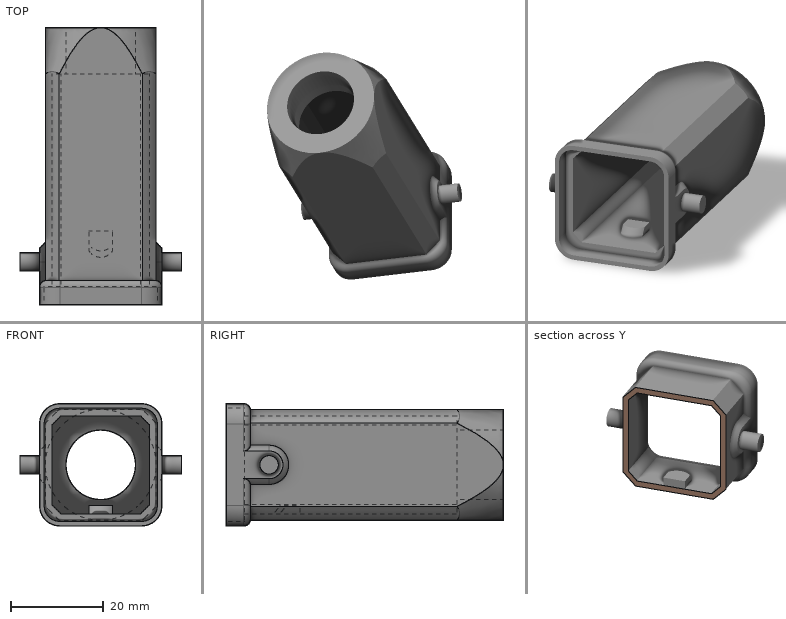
import cadquery as cq
import math

LENGTH = 60.0
BODY_WIDTH = 24.0
BODY_BEVEL = 3.0

TAPER_LENGTH = 10.0
TAPER_END_RADIUS = BODY_WIDTH / 2
TAPER_START_RADIUS = math.hypot(BODY_WIDTH / 2, BODY_WIDTH / 2 - BODY_BEVEL)

COLLAR_WIDTH = 26.5
COLLAR_LENGTH = 5.3
COLLAR_CORNER_RADIUS = 4.4
COLLAR_EDGE_RADIUS = 1.5

RIM_WALL = 1.0
RIM_DEPTH = 4.0
CAVITY_WIDTH = 21.2
CAVITY_BEVEL = 2.0
CAVITY_DEPTH = LENGTH - TAPER_LENGTH
CABLE_HOLE_DIAMETER = 15.0

PIN_SPAN = 35.0
PIN_DIAMETER = 4.0
PIN_Y = 9.3
BOSS_HEIGHT = (COLLAR_WIDTH - BODY_WIDTH) / 2
BOSS_TOP_RADIUS = 3.0
BOSS_BASE_RADIUS = BOSS_TOP_RADIUS + BOSS_HEIGHT

LUG_WIDTH = 5.0
LUG_HEIGHT = 1.8
LUG_NOSE_RADIUS = 3.0
LUG_FOOT_Y = 10.3
LUG_TOP_Y = 11.7
LUG_BACK_Y = 16.0


def square_bar(width, length):
    """Square bar centred on the Y axis, running from the mating face toward the cable end."""
    return cq.Workplane("XZ").rect(width, width).extrude(-length)


def bevelled_bar(width, bevel, length):
    return square_bar(width, length).edges("|Y").chamfer(bevel)


def rounded_bar(width, radius, length):
    return square_bar(width, length).edges("|Y").fillet(radius)


def tapered_body():
    slope = (TAPER_START_RADIUS - TAPER_END_RADIUS) / TAPER_LENGTH
    envelope = (
        cq.Workplane("XY")
        .polyline([
            (0, 0),
            (TAPER_END_RADIUS + slope * LENGTH, 0),
            (TAPER_END_RADIUS, LENGTH),
            (0, LENGTH),
        ])
        .close()
        .revolve(360, (0, 0, 0), (0, 1, 0))
    )
    return bevelled_bar(BODY_WIDTH, BODY_BEVEL, LENGTH).intersect(envelope)


def collar():
    bar = rounded_bar(COLLAR_WIDTH, COLLAR_CORNER_RADIUS, COLLAR_LENGTH)
    return bar.faces(">Y").edges().fillet(COLLAR_EDGE_RADIUS)


def boss_and_pin(side):
    """Slope-sided boss with its pin, reaching forward to the mating face; side is +1 or -1 along X."""
    base_x = side * BODY_WIDTH / 2
    top_x = side * COLLAR_WIDTH / 2
    base_plane = cq.Plane(origin=(base_x, PIN_Y, 0), xDir=(0, 1, 0), normal=(side, 0, 0))
    round_end = (
        cq.Workplane(base_plane)
        .circle(BOSS_BASE_RADIUS)
        .workplane(offset=BOSS_HEIGHT)
        .circle(BOSS_TOP_RADIUS)
        .loft(combine=True)
    )
    straight = (
        cq.Workplane("XZ", origin=(0, PIN_Y, 0))
        .polyline([
            (base_x, -BOSS_BASE_RADIUS),
            (base_x, BOSS_BASE_RADIUS),
            (top_x, BOSS_TOP_RADIUS),
            (top_x, -BOSS_TOP_RADIUS),
        ])
        .close()
        .extrude(PIN_Y)
    )
    pin = cq.Workplane(base_plane).circle(PIN_DIAMETER / 2).extrude((PIN_SPAN - BODY_WIDTH) / 2)
    return round_end.union(straight).union(pin)


def interior():
    cavity = bevelled_bar(CAVITY_WIDTH, CAVITY_BEVEL, CAVITY_DEPTH)
    rim = rounded_bar(COLLAR_WIDTH - 2 * RIM_WALL, COLLAR_CORNER_RADIUS - RIM_WALL, RIM_DEPTH)
    cable_hole = cq.Workplane("XZ").circle(CABLE_HOLE_DIAMETER / 2).extrude(-LENGTH)
    return cavity.union(rim).union(cable_hole)


def lug_section(height, nose_y):
    """Horizontal outline of the lug, its nose reaching nose_y, at a height above the cavity floor."""
    half_width = LUG_WIDTH / 2
    nose_depth = LUG_NOSE_RADIUS - math.sqrt(LUG_NOSE_RADIUS**2 - half_width**2)
    return (
        cq.Workplane("XY")
        .workplane(offset=height - CAVITY_WIDTH / 2)
        .moveTo(-half_width, LUG_BACK_Y)
        .lineTo(-half_width, nose_y + nose_depth)
        .threePointArc((0, nose_y), (half_width, nose_y + nose_depth))
        .lineTo(half_width, LUG_BACK_Y)
        .close()
        .val()
    )


def lug():
    foot = lug_section(0, LUG_FOOT_Y)
    top = lug_section(LUG_HEIGHT, LUG_TOP_Y)
    return cq.Workplane(cq.Solid.makeLoft([foot, top], True))


hood = tapered_body().union(collar())
for side in (-1, 1):
    hood = hood.union(boss_and_pin(side))
result = hood.cut(interior()).union(lug())